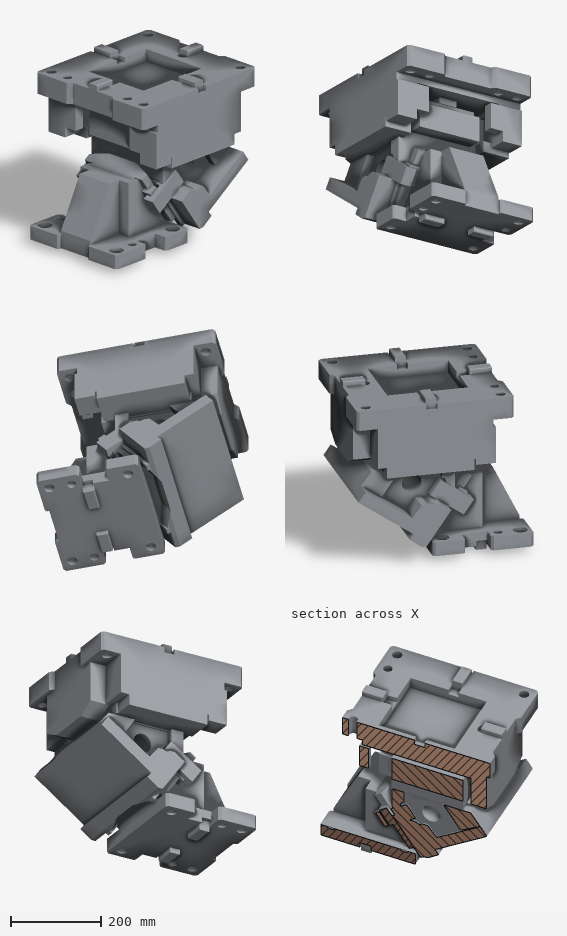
import cadquery as cq
import math


OVERSHOOT = 41.5

KEY_STICKOUT = 13.0
KEY_WIDTH = 25.2
KEY_LENGTH = 51.0
KEY_CHAMFER = 1.5

HOLDER_HALF_WIDTH = 165.0
PLATE_FRONT = 53.5
PLATE_REAR = 413.5
PLATE_TOP = 373.5
PLATE_CHAMFER = 5.8
PLATE_FRONT_UNDERSIDE = 323.5
PLATE_REAR_UNDERSIDE = 328.5
EDGE_RELIEF_HALF_WIDTH = 60.0
EDGE_RELIEF_FLARE = 10.0
FRONT_RELIEF_Y = 63.3
REAR_RELIEF_Y = 404.0
BODY_FRONT = 101.0
BODY_REAR = 366.0
BODY_BOTTOM = 208.5
LEDGE_Z = 233.5
LEG_FRONT = 94.5
LEG_REAR = 141.5
LEG_TOP = 304.7
LEG_BOTTOM = 220.0
LEG_GAP_HALF_WIDTH = 82.3
LEG_STEP_HALF_WIDTH = 115.0
LEG_STEP_Z = 244.5
LEG_LIP_REAR = 117.5
RAIL_FRONT = 144.7
RAIL_REAR = 348.5
OUTER_RAIL_REAR = 344.5
RAIL_GAP_HALF_WIDTH = 96.8
CAVITY_HALF_WIDTH = 116.5
CAVITY_ROOF_HALF_WIDTH = 108.5
CAVITY_TOP = 309.7
STOP_HALF_WIDTH = 22.5
STOP_REAR = 171.5
STOP_BOTTOM = 295.5
LUG_FRONT_LOW = 357.0
LUG_TIP_HALF_WIDTH = 53.8
LUG_BOTTOM = 212.5
POCKET_HALF_WIDTH = 84.8
POCKET_FRONT = 137.3
POCKET_REAR = 322.5
POCKET_FLOOR = 343.5
SIDE_KEY_Y = 241.5
SIDE_KEY_X = 129.0
FRONT_KEY_Y = FRONT_RELIEF_Y + KEY_LENGTH / 2
REAR_KEY_Y = REAR_RELIEF_Y - KEY_LENGTH / 2
REAR_SLOT_END = 340.0
BOLT_X = 141.5
BOLT_FRONT_Y = 78.5
BOLT_REAR_Y = 387.5
BOLT_DIAMETER = 22.7
DOWEL_X = 92.0
DOWEL_DIAMETER = 20.5

INCLINE = math.radians(35.0)
SINE = math.sin(INCLINE)
COSINE = math.cos(INCLINE)
RAMP_Y = 250.0
RAMP_Z = 30.0
RIDGE_HALF_WIDTH = 41.5
RIDGE_HEIGHT = 13.2
ROOF_HALF_WIDTH = 88.0
ROOF_EDGE_HEIGHT = -4.0
SADDLE_HEIGHT = -8.3
FLANGE_TOP_HEIGHT = SADDLE_HEIGHT

SLIDER_TOP = 206.8
SLIDER_FRONT = 173.5
SLIDER_REAR_TOP_Y = 365.5
NECK_HALF_WIDTH = 94.5
HEAD_HALF_WIDTH = 115.8
HEAD_REAR = 347.5
HEAD_TOP = 297.7
NOSE_FRONT = 135.5
NOSE_HALF_WIDTH = 79.5
NOSE_BOTTOM = 225.0
NOSE_TOP = 283.2
NOSE_CAP_HALF_WIDTH = 70.5
NOSE_CAP_FRONT = 144.0
CORE_HALF_WIDTH = 92.0
CHEEK_HALF_WIDTH = 110.0
FRONT_CHEEK_REAR = 204.3
CHEEK_CURVE_TOP_Z = 176.5
CHEEK_CURVE_MIDDLE = (197.5, 172.0)
CHEEK_CURVE_END = (194.8, 164.5)
WING_HALF_WIDTH = 149.0
SADDLE_HALF_WIDTH = 103.0
SADDLE_LENGTH = 121.5
BORE_Y = 268.8
BORE_Z = 163.7
BORE_DIAMETER = 45.0
WING_REAR_LOW = (405.5, 151.0)
WING_REAR_HIGH = (389.0, 174.5)
BELLY_NOTCH = [(279.0, 63.0), (288.2, 51.0), (261.0, 31.0)]
WING_DIP = (283.0, 101.7)
WING_SHELF_REAR = (261.0, 129.0)
GROOVE_REAR = (247.3, 129.0)
GROOVE_BOTTOM = (240.2, 125.5)
GROOVE_FRONT = (233.2, 129.0)
REAR_CHEEK_FOOT = (341.0, 144.5)
REAR_CHEEK_TOP_Y = 297.7
RELIEF_HALF_WIDTH = 100.0
RELIEF_BOTTOM = 4.0
RELIEF_TOP = 7.5
RELIEF_FLOOR = 139.8
RELIEF_CHAMFER = 1.5
BRACKET_LOW = 99.2
BRACKET_HIGH = 139.8
BRACKET_HALF_WIDTH = 117.0
BRACKET_REAR_HEIGHT = 48.0
BRACKET_FRONT_HEIGHT = -45.5
HOOK_HALF_WIDTH = 89.7
HOOK_HEIGHT = -33.5

BASE_HALF_WIDTH = 135.0
BASE_REAR = 231.0
BASE_THICKNESS = 32.5
BASE_CHAMFER = 5.8
BASE_SMALL_CHAMFER = 3.7
BASE_FRONT_RELIEF = 9.0
SIDE_RELIEF_FRONT = 91.5
SIDE_RELIEF_REAR = 161.0
SIDE_RELIEF_X = 101.5
COLUMN_HALF_WIDTH = 74.0
COLUMN_FRONT = 101.0
COLUMN_TOP = 160.5
COLUMN_HEEL_Z = 38.5
RIB_HALF_WIDTH = 45.0
RIB_TOP_FRONT = 69.0
RIB_TOE_Z = 41.5
ROOF_LOW = 29.5
ROOF_HIGH = 178.5
ROOF_END_LOW = 146.0
ROOF_TONGUE_HALF_WIDTH = 64.5
ROOF_TONGUE_HEIGHT = -29.0
FLANGE_MID = 98.0
FLANGE_HIGH = 144.0
UPPER_FLANGE_HALF_WIDTH = 99.5
UPPER_FLANGE_HEIGHT = -31.5
LOWER_FLANGE_HALF_WIDTH = 96.8
LOWER_FLANGE_HEIGHT = -21.0
ROOF_END_HEIGHT = -22.5
LUG_STRIP_HALF_WIDTH = 75.3
LUG_STRIP_HIGH = 66.0
BASE_HOLE_X = 109.5
BASE_BOLT_YS = (25.0, 204.0)
BASE_BOLT_DIAMETER = 22.7
BASE_COUNTERBORE_DIAMETER = 33.0
BASE_COUNTERBORE_DEPTH = 4.0
BASE_DOWEL_Y = 75.3
BASE_DOWEL_DIAMETER = 20.3
BASE_KEY_X = 65.0
BASE_KEY_Y = 109.5


def block(x0, x1, y0, y1, z0, z1):
    """Box between the given limits."""
    return cq.Workplane("XY").box(x1 - x0, y1 - y0, z1 - z0, centered=False).translate((x0, y0, z0))


def centred_block(half_width, y0, y1, z0, z1):
    """Box symmetric about X = 0."""
    return block(-half_width, half_width, y0, y1, z0, z1)


def side_slab(points, half_width):
    """Side outline of (Y, Z) points, symmetric about X = 0."""
    return cq.Workplane("YZ").polyline(points).close().extrude(half_width, both=True)


def ramp_bar(points, low, high):
    """(X, height) section swept along the incline from low to high."""
    frame = cq.Plane(origin=(0, RAMP_Y, RAMP_Z), xDir=(1, 0, 0), normal=(0, -SINE, COSINE))
    return cq.Workplane(frame).workplane(offset=low).polyline(points).close().extrude(high - low)


def ramp_strip(half_width, bottom, top, low, high):
    """Rectangular bar on the incline, symmetric about X = 0."""
    corners = [(-half_width, bottom), (half_width, bottom), (half_width, top), (-half_width, top)]
    return ramp_bar(corners, low, high)


def ramp_point(along, height):
    """(Y, Z) of a place on the slideway."""
    return (RAMP_Y - along * SINE + height * COSINE, RAMP_Z + along * COSINE + height * SINE)


def roof_bar(bottom, low, high):
    """Ridged slideway section, flat along the ridge and sloping to both sides."""
    section = [
        (-ROOF_HALF_WIDTH, bottom),
        (ROOF_HALF_WIDTH, bottom),
        (ROOF_HALF_WIDTH, ROOF_EDGE_HEIGHT),
        (RIDGE_HALF_WIDTH, RIDGE_HEIGHT),
        (-RIDGE_HALF_WIDTH, RIDGE_HEIGHT),
        (-ROOF_HALF_WIDTH, ROOF_EDGE_HEIGHT),
    ]
    return ramp_bar(section, low, high)


def key(x, y, face_z, along_x, outward):
    """Key seated half in its slot; outward is +1 above the face or -1 below it."""
    size = (KEY_LENGTH, KEY_WIDTH) if along_x else (KEY_WIDTH, KEY_LENGTH)
    long_edges = "|X" if along_x else "|Y"
    blank = cq.Workplane("XY").box(*size, 2 * KEY_STICKOUT)
    blank = blank.faces(">Z" if outward > 0 else "<Z").edges(long_edges).chamfer(KEY_CHAMFER)
    return blank.translate((x, y, face_z))


def key_slot(x0, x1, y0, y1, face_z):
    """Slot half a key deep on either side of the face."""
    return block(x0, x1, y0, y1, face_z - KEY_STICKOUT, face_z + KEY_STICKOUT)


def drill(x, y, diameter, z0, z1):
    """Vertical round cutter."""
    return cq.Workplane("XY").circle(diameter / 2).extrude(z1 - z0).translate((x, y, z0))


def plate_edge_relief(edge_y, relief_y):
    """Shallow flared recess in the front or rear edge of the top plate."""
    wide = EDGE_RELIEF_HALF_WIDTH + EDGE_RELIEF_FLARE
    outline = [
        (-wide, edge_y),
        (-EDGE_RELIEF_HALF_WIDTH, relief_y),
        (EDGE_RELIEF_HALF_WIDTH, relief_y),
        (wide, edge_y),
    ]
    cutter = cq.Workplane("XY").polyline(outline).close().extrude(PLATE_TOP - LEG_TOP + OVERSHOOT)
    return cutter.translate((0, 0, LEG_TOP))


def holder_blank():
    outline = [
        (PLATE_FRONT, PLATE_TOP),
        (PLATE_FRONT, PLATE_FRONT_UNDERSIDE),
        (BODY_FRONT, PLATE_FRONT_UNDERSIDE),
        (BODY_FRONT, LEG_TOP),
        (LEG_FRONT, LEG_TOP),
        (LEG_FRONT, LEG_BOTTOM),
        (LEG_REAR, LEG_BOTTOM),
        (LEG_REAR, LEDGE_Z),
        (RAIL_FRONT, LEDGE_Z),
        (RAIL_FRONT, BODY_BOTTOM),
        (RAIL_REAR, BODY_BOTTOM),
        (RAIL_REAR, LEDGE_Z),
        (BODY_REAR, LEDGE_Z),
        (BODY_REAR, PLATE_REAR_UNDERSIDE),
        (PLATE_REAR, PLATE_REAR_UNDERSIDE),
        (PLATE_REAR, PLATE_TOP),
    ]
    blank = side_slab(outline, HOLDER_HALF_WIDTH)
    low = BODY_BOTTOM - OVERSHOOT
    for x0, x1 in ((-HOLDER_HALF_WIDTH, -LEG_STEP_HALF_WIDTH), (LEG_STEP_HALF_WIDTH, HOLDER_HALF_WIDTH)):
        blank = blank.cut(block(x0, x1, OUTER_RAIL_REAR, RAIL_REAR, low, LEDGE_Z))
    corners = blank.edges("|Z").edges("<X or >X").edges("<Y or >Y")
    blank = corners.chamfer(PLATE_CHAMFER)
    blank = blank.cut(plate_edge_relief(PLATE_FRONT, FRONT_RELIEF_Y))
    return blank.cut(plate_edge_relief(PLATE_REAR, REAR_RELIEF_Y))


def cut_slide_cavity(body):
    """T-shaped cavity for the slider head, and the opening between the front legs."""
    low = BODY_BOTTOM - OVERSHOOT
    body = body.cut(centred_block(RAIL_GAP_HALF_WIDTH, LEG_REAR, BODY_REAR, low, CAVITY_TOP))
    body = body.cut(centred_block(CAVITY_HALF_WIDTH, LEG_REAR, RAIL_REAR, LEDGE_Z, HEAD_TOP))
    body = body.cut(centred_block(CAVITY_ROOF_HALF_WIDTH, LEG_REAR, RAIL_REAR, HEAD_TOP, CAVITY_TOP))
    body = body.cut(centred_block(CAVITY_ROOF_HALF_WIDTH, BODY_FRONT, LEG_REAR, LEG_TOP, CAVITY_TOP))
    body = body.cut(centred_block(LEG_GAP_HALF_WIDTH, LEG_FRONT, LEG_REAR, low, LEG_TOP))
    body = body.cut(centred_block(LEG_STEP_HALF_WIDTH, LEG_LIP_REAR, LEG_REAR, LEG_STEP_Z, LEG_TOP))
    return body.cut(centred_block(LEG_STEP_HALF_WIDTH, LEG_FRONT, LEG_REAR, low, LEG_STEP_Z))


def rear_lug():
    """Block that closes the rear of the cavity, with a tapered underside."""
    lug = centred_block(RAIL_GAP_HALF_WIDTH, BODY_REAR, REAR_RELIEF_Y, LEDGE_Z, PLATE_REAR_UNDERSIDE)
    section = [
        (-RAIL_GAP_HALF_WIDTH, LEDGE_Z),
        (RAIL_GAP_HALF_WIDTH, LEDGE_Z),
        (LUG_TIP_HALF_WIDTH, LUG_BOTTOM),
        (-LUG_TIP_HALF_WIDTH, LUG_BOTTOM),
    ]
    taper = cq.Workplane("XZ").polyline(section).close().extrude(LUG_FRONT_LOW - REAR_RELIEF_Y)
    return lug.union(taper.translate((0, LUG_FRONT_LOW, 0)))


def cut_top_face(body):
    """Central pocket, key slots, bolt holes and dowel holes of the top plate."""
    above = PLATE_TOP + OVERSHOOT
    half_slot = KEY_WIDTH / 2
    body = body.cut(centred_block(POCKET_HALF_WIDTH, POCKET_FRONT, POCKET_REAR, POCKET_FLOOR, above))
    for x0, x1 in ((-HOLDER_HALF_WIDTH, 0), (0, HOLDER_HALF_WIDTH)):
        body = body.cut(key_slot(x0, x1, SIDE_KEY_Y - half_slot, SIDE_KEY_Y + half_slot, PLATE_TOP))
    body = body.cut(key_slot(-half_slot, half_slot, PLATE_FRONT, POCKET_FRONT, PLATE_TOP))
    slot_centre = REAR_SLOT_END + half_slot
    body = body.cut(key_slot(-half_slot, half_slot, slot_centre, PLATE_REAR, PLATE_TOP))
    body = body.cut(drill(0, slot_centre, KEY_WIDTH, PLATE_TOP - KEY_STICKOUT, above))
    for side in (-1, 1):
        for y in (BOLT_FRONT_Y, BOLT_REAR_Y):
            body = body.cut(drill(side * BOLT_X, y, BOLT_DIAMETER, LEG_TOP, above))
        body = body.cut(drill(side * DOWEL_X, BOLT_FRONT_Y, DOWEL_DIAMETER, LEG_TOP, above))
    return body


def make_holder():
    body = cut_slide_cavity(holder_blank())
    body = body.union(centred_block(STOP_HALF_WIDTH, LEG_REAR, STOP_REAR, STOP_BOTTOM, CAVITY_TOP))
    body = cut_top_face(body.union(rear_lug()))
    for side in (-1, 1):
        body = body.union(key(side * SIDE_KEY_X, SIDE_KEY_Y, PLATE_TOP, True, 1))
    for y in (FRONT_KEY_Y, REAR_KEY_Y):
        body = body.union(key(0, y, PLATE_TOP, False, 1))
    return body


def slider_front_foot():
    """Where the slider front face meets the inclined face of the wings."""
    return ramp_point((RAMP_Y - SLIDER_FRONT) / SINE, 0)


def slider_core():
    """Central web between the holder and the slideway."""
    outline = [
        (SLIDER_REAR_TOP_Y, SLIDER_TOP),
        (SLIDER_FRONT, SLIDER_TOP),
        slider_front_foot(),
        ramp_point(0, 0),
        *reversed(BELLY_NOTCH),
        WING_REAR_LOW,
    ]
    return side_slab(outline, CORE_HALF_WIDTH)


def slider_wings():
    """Full-width sloping floor and front shoulder."""
    outline = cq.Workplane("YZ").moveTo(*WING_REAR_HIGH).lineTo(*WING_REAR_LOW)
    for point in [*BELLY_NOTCH, ramp_point(0, 0), ramp_point(BRACKET_LOW, 0)]:
        outline = outline.lineTo(*point)
    shelf_height = (WING_SHELF_REAR[1] - ramp_point(BRACKET_LOW, 0)[1]) / SINE
    outline = (
        outline.lineTo(*ramp_point(BRACKET_LOW, shelf_height))
        .lineTo(*GROOVE_FRONT)
        .threePointArc(GROOVE_BOTTOM, GROOVE_REAR)
        .lineTo(*WING_SHELF_REAR)
        .lineTo(*WING_DIP)
        .close()
    )
    return outline.extrude(WING_HALF_WIDTH, both=True)


def slider_cheeks():
    """Thicker side walls at the rear and at the front of the web."""
    rear = [
        (SLIDER_REAR_TOP_Y, SLIDER_TOP),
        (REAR_CHEEK_TOP_Y, SLIDER_TOP),
        REAR_CHEEK_FOOT,
        WING_REAR_HIGH,
    ]
    bracket_centre = (BRACKET_LOW + BRACKET_HIGH) / 2
    front = (
        cq.Workplane("YZ")
        .moveTo(*slider_front_foot())
        .lineTo(SLIDER_FRONT, SLIDER_TOP)
        .lineTo(FRONT_CHEEK_REAR, SLIDER_TOP)
        .lineTo(FRONT_CHEEK_REAR, CHEEK_CURVE_TOP_Z)
        .threePointArc(CHEEK_CURVE_MIDDLE, CHEEK_CURVE_END)
        .lineTo(*ramp_point(bracket_centre, 0))
        .close()
        .extrude(CHEEK_HALF_WIDTH, both=True)
    )
    return side_slab(rear, CHEEK_HALF_WIDTH).union(front)


def slider_head():
    """Neck, T head and front nose that run in the holder."""
    neck = centred_block(NECK_HALF_WIDTH, SLIDER_FRONT, HEAD_REAR, SLIDER_TOP, LEDGE_Z)
    head = centred_block(HEAD_HALF_WIDTH, SLIDER_FRONT, HEAD_REAR, LEDGE_Z, HEAD_TOP)
    nose = centred_block(NOSE_HALF_WIDTH, NOSE_FRONT, SLIDER_FRONT, NOSE_BOTTOM, NOSE_TOP)
    cap = centred_block(NOSE_CAP_HALF_WIDTH, NOSE_CAP_FRONT, SLIDER_FRONT, NOSE_TOP, STOP_BOTTOM)
    return neck.union(head).union(nose).union(cap)


def slider_bracket(side):
    """Side bracket whose inward hook reaches behind the driver flange."""
    section = [
        (CORE_HALF_WIDTH, BRACKET_REAR_HEIGHT),
        (BRACKET_HALF_WIDTH, BRACKET_REAR_HEIGHT),
        (BRACKET_HALF_WIDTH, BRACKET_FRONT_HEIGHT),
        (HOOK_HALF_WIDTH, BRACKET_FRONT_HEIGHT),
        (HOOK_HALF_WIDTH, HOOK_HEIGHT),
        (SADDLE_HALF_WIDTH, HOOK_HEIGHT),
        (SADDLE_HALF_WIDTH, 0),
        (CORE_HALF_WIDTH, 0),
    ]
    return ramp_bar([(side * x, height) for x, height in section], BRACKET_LOW, BRACKET_HIGH)


def saddle_relief(side):
    """Short pocket beside the ridged groove, open at the slider front."""
    section = [
        (RIDGE_HALF_WIDTH, RELIEF_BOTTOM),
        (RELIEF_HALF_WIDTH, RELIEF_BOTTOM),
        (RELIEF_HALF_WIDTH, RELIEF_TOP - RELIEF_CHAMFER),
        (RELIEF_HALF_WIDTH - RELIEF_CHAMFER, RELIEF_TOP),
        (RIDGE_HALF_WIDTH, RELIEF_TOP),
    ]
    return ramp_bar([(side * x, height) for x, height in section], RELIEF_FLOOR, ROOF_HIGH)


def make_slider():
    body = slider_core().union(slider_wings()).union(slider_cheeks())
    body = body.union(ramp_strip(SADDLE_HALF_WIDTH, SADDLE_HEIGHT, 0, 0, SADDLE_LENGTH))
    body = body.cut(roof_bar(SADDLE_HEIGHT, -OVERSHOOT, ROOF_HIGH))
    body = body.union(slider_head())
    for side in (-1, 1):
        body = body.cut(saddle_relief(side))
        body = body.union(slider_bracket(side))
    bore = cq.Workplane("YZ").center(BORE_Y, BORE_Z).circle(BORE_DIAMETER / 2)
    return body.cut(bore.extrude(WING_HALF_WIDTH, both=True))


def base_half_outline():
    """Right half of the base outline, from front centre to rear centre."""
    edge = BASE_HALF_WIDTH
    large = BASE_CHAMFER
    small = BASE_SMALL_CHAMFER
    return [
        (0, BASE_FRONT_RELIEF),
        (RIB_HALF_WIDTH, BASE_FRONT_RELIEF),
        (RIB_HALF_WIDTH, small),
        (RIB_HALF_WIDTH + small, 0),
        (edge - large, 0),
        (edge, large),
        (edge, SIDE_RELIEF_FRONT),
        (edge - large, SIDE_RELIEF_FRONT + large),
        (SIDE_RELIEF_X, SIDE_RELIEF_FRONT + large),
        (SIDE_RELIEF_X, SIDE_RELIEF_REAR - small),
        (edge - small, SIDE_RELIEF_REAR - small),
        (edge, SIDE_RELIEF_REAR),
        (edge, BASE_REAR - large),
        (edge - large, BASE_REAR),
        (0, BASE_REAR),
    ]


def driver_base():
    half = cq.Workplane("XY").polyline(base_half_outline()).close().extrude(BASE_THICKNESS)
    base = half.union(half.mirror("YZ"))
    half_slot = KEY_WIDTH / 2
    counterbore_floor = BASE_THICKNESS - BASE_COUNTERBORE_DEPTH
    key_inner_x = BASE_KEY_X - KEY_LENGTH / 2
    for side in (-1, 1):
        x = side * BASE_HOLE_X
        for y in BASE_BOLT_YS:
            base = base.cut(drill(x, y, BASE_BOLT_DIAMETER, 0, BASE_THICKNESS))
            base = base.cut(drill(x, y, BASE_COUNTERBORE_DIAMETER, counterbore_floor, BASE_THICKNESS))
        base = base.cut(drill(x, BASE_DOWEL_Y, BASE_DOWEL_DIAMETER, 0, BASE_THICKNESS))
        x0, x1 = sorted((side * key_inner_x, side * BASE_HALF_WIDTH))
        base = base.cut(key_slot(x0, x1, BASE_KEY_Y - half_slot, BASE_KEY_Y + half_slot, 0))
    return base


def driver_column():
    """Upright column under the slideway, with a tapered rib in front of it."""
    top_along = (COLUMN_TOP - ramp_point(0, FLANGE_TOP_HEIGHT)[1]) / COSINE
    column = side_slab(
        [
            (COLUMN_FRONT, BASE_THICKNESS),
            (COLUMN_FRONT, COLUMN_TOP),
            ramp_point(top_along, FLANGE_TOP_HEIGHT),
            ramp_point(ROOF_LOW, FLANGE_TOP_HEIGHT),
            (BASE_REAR, COLUMN_HEEL_Z),
            (BASE_REAR, BASE_THICKNESS),
        ],
        COLUMN_HALF_WIDTH,
    )
    rib = side_slab(
        [
            (COLUMN_FRONT, BASE_THICKNESS),
            (COLUMN_FRONT, COLUMN_TOP),
            (RIB_TOP_FRONT, COLUMN_TOP),
            (BASE_FRONT_RELIEF, RIB_TOE_Z),
            (BASE_FRONT_RELIEF, BASE_THICKNESS),
        ],
        RIB_HALF_WIDTH,
    )
    return column.union(rib)


def driver_slideway():
    """Ridged roof, its thicker upper end, and the stepped flanges below it."""
    top = FLANGE_TOP_HEIGHT
    roof = roof_bar(top, ROOF_LOW, ROOF_HIGH)
    head = ramp_strip(ROOF_HALF_WIDTH, ROOF_END_HEIGHT, top, ROOF_END_LOW, ROOF_HIGH)
    tongue = ramp_strip(ROOF_TONGUE_HALF_WIDTH, ROOF_TONGUE_HEIGHT, top, ROOF_END_LOW, ROOF_HIGH)
    upper = ramp_strip(UPPER_FLANGE_HALF_WIDTH, UPPER_FLANGE_HEIGHT, top, FLANGE_MID, FLANGE_HIGH)
    lower = ramp_strip(LOWER_FLANGE_HALF_WIDTH, LOWER_FLANGE_HEIGHT, top, ROOF_LOW, FLANGE_MID)
    strip = ramp_strip(LUG_STRIP_HALF_WIDTH, UPPER_FLANGE_HEIGHT, top, ROOF_LOW, LUG_STRIP_HIGH)
    return roof.union(head).union(tongue).union(upper).union(lower).union(strip)


def make_driver():
    body = driver_base().union(driver_column()).union(driver_slideway())
    for side in (-1, 1):
        body = body.union(key(side * BASE_KEY_X, BASE_KEY_Y, 0, True, -1))
    return body


holder = make_holder()
slider = make_slider()
driver = make_driver()

result = cq.Compound.makeCompound([holder.val(), slider.val(), driver.val()])